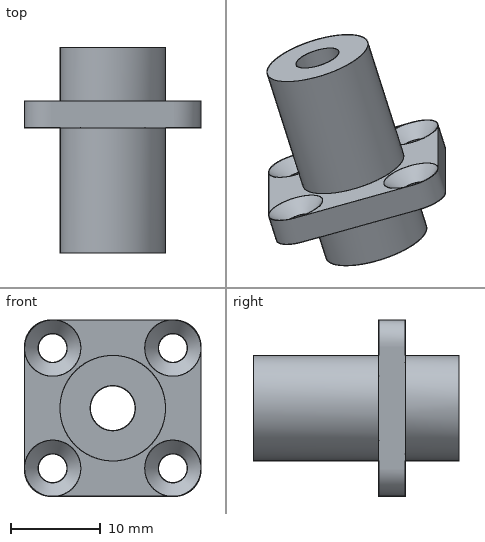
import cadquery as cq
import math

sleeve_diameter = 11.8
bore_diameter = 5.0
sleeve_length = 23.0

flange_side = 19.73
flange_thickness = 3.0
flange_corner_radius = 3.0
flange_front_y = 14.0

bolt_circle_diameter = 19.0
hole_diameter = 3.2
countersink_diameter = 6.3
countersink_angle = 90.0
hole_offset = bolt_circle_diameter / 2 / math.sqrt(2)


def plane_at(y):
    """XZ work plane at the given Y, with its normal along -Y and its local axes along X and Z."""
    return cq.Workplane("XZ", origin=(0, y, 0))


def make_flange():
    return (
        plane_at(flange_front_y)
        .rect(flange_side, flange_side)
        .extrude(-flange_thickness)
        .edges("|Y")
        .fillet(flange_corner_radius)
    )


def cut_mounting_holes(body):
    """Cut the corner holes through the flange, countersunk from its front face."""
    centres = [(x, z) for x in (-hole_offset, hole_offset) for z in (-hole_offset, hole_offset)]
    return (
        body.copyWorkplane(plane_at(flange_front_y))
        .pushPoints(centres)
        .cskHole(hole_diameter, countersink_diameter, countersink_angle, depth=flange_thickness)
    )


sleeve = plane_at(0).circle(sleeve_diameter / 2).extrude(-sleeve_length)
bore = plane_at(0).circle(bore_diameter / 2).extrude(-sleeve_length)

flange = cut_mounting_holes(make_flange())
result = flange.union(sleeve).cut(bore)